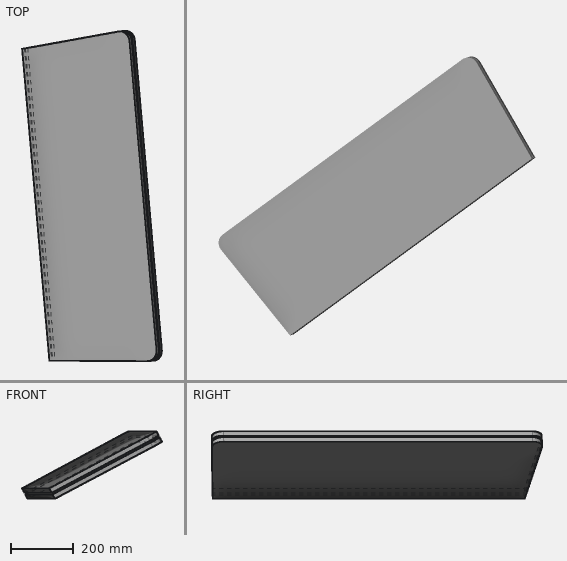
import cadquery as cq
import math

plate_width = 390.0
short_side = 1002.0
end_flare = 32.0
corner_radius = 34.0

plate_thickness = 16.0
plate_gap = 6.0
plate_count = 2

pitch = 28.0
yaw = 5.0
stack_spacing = plate_thickness + plate_gap

pitch_angle = math.radians(pitch)
yaw_angle = math.radians(yaw)
up_slope = cq.Vector(
    math.cos(pitch_angle) * math.cos(yaw_angle),
    math.cos(pitch_angle) * math.sin(yaw_angle),
    math.sin(pitch_angle),
)
top_normal = cq.Vector(
    -math.sin(pitch_angle) * math.cos(yaw_angle),
    -math.sin(pitch_angle) * math.sin(yaw_angle),
    math.cos(pitch_angle),
)
slope_plane = cq.Plane(origin=(0, 0, 0), xDir=up_slope, normal=top_normal)


def make_plate(base_height):
    """Flat plate with rounded upper corners, its underside at base_height above the slope plane."""
    outline = [
        (0, 0),
        (plate_width, -end_flare),
        (plate_width, short_side + end_flare),
        (0, short_side),
    ]
    base = cq.Workplane("XY").workplane(offset=base_height)
    blank = base.polyline(outline).close().extrude(plate_thickness)
    rounded = blank.edges("|Z and >X").fillet(corner_radius)
    return rounded.val().moved(slope_plane.location)


plates = [make_plate(level * stack_spacing) for level in range(plate_count)]

result = cq.Compound.makeCompound(plates)